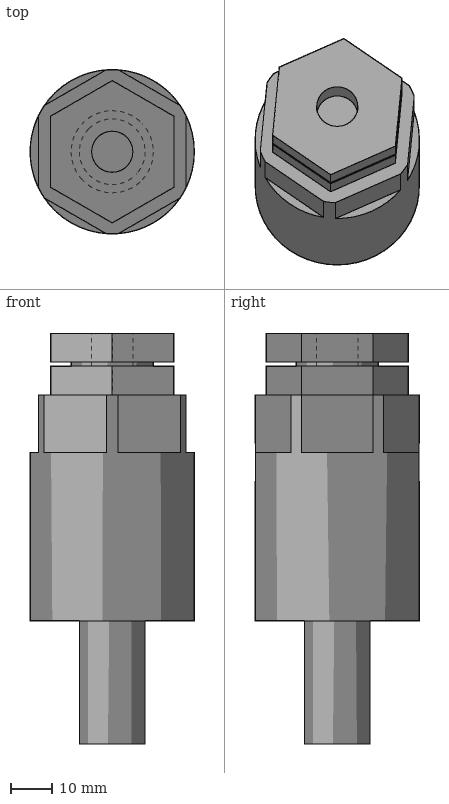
import cadquery as cq
import math

stem_diameter = 16
stem_length = 30
barrel_diameter = 40
barrel_length = 41
wrench_flats = 36
wrench_length = 14

head_flats = 30
head_height = 7
collar_height = head_height
neck_diameter = 20
neck_height = 1
bore_diameter = 10

barrel_top = barrel_length
wrench_top = barrel_top + wrench_length
collar_top = wrench_top + collar_height
neck_top = collar_top + neck_height


def cylinder(diameter, base, height):
    """Upright cylinder on the Z axis, starting at level base."""
    return cq.Workplane("XY", origin=(0, 0, base)).circle(diameter / 2).extrude(height)


def hexagon(across_flats, base, height):
    """Upright hexagonal prism on the Z axis with two flats facing -X and +X."""
    across_corners = across_flats / math.cos(math.pi / 6)
    return (
        cq.Workplane("XY", origin=(0, 0, base))
        .transformed(rotate=(0, 0, 90))
        .polygon(6, across_corners)
        .extrude(height)
    )


def make_housing():
    stem = cylinder(stem_diameter, -stem_length, stem_length)
    barrel = cylinder(barrel_diameter, 0, barrel_length)
    wrench_round = cylinder(barrel_diameter, barrel_top, wrench_length)
    wrench = hexagon(wrench_flats, barrel_top, wrench_length).intersect(wrench_round)
    collar = hexagon(head_flats, wrench_top, collar_height)
    return stem.union(barrel).union(wrench).union(collar)


def make_gland_screw():
    neck = cylinder(neck_diameter, collar_top, neck_height)
    head = hexagon(head_flats, neck_top, head_height)
    bore = cylinder(bore_diameter, collar_top, neck_height + head_height)
    return neck.union(head).cut(bore)


housing = make_housing()
gland_screw = make_gland_screw()

result = cq.Compound.makeCompound([housing.val(), gland_screw.val()])